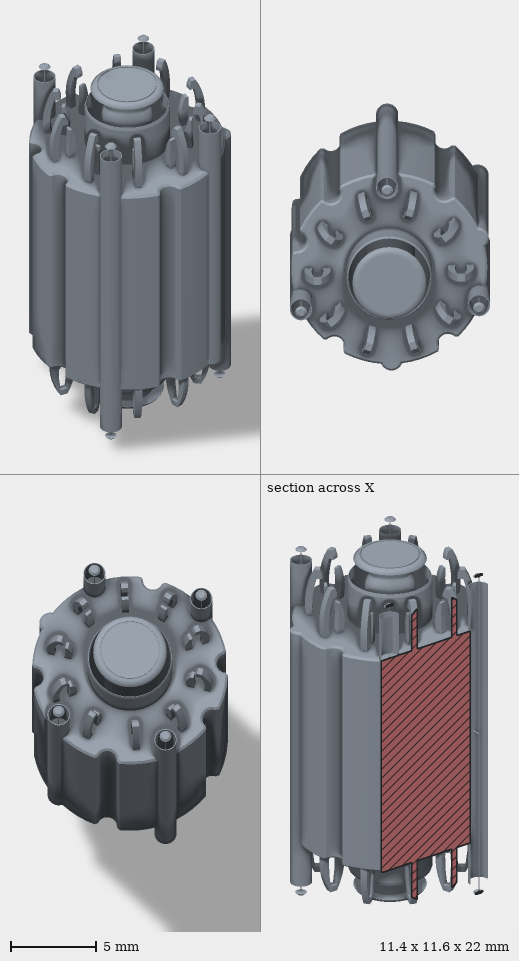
import cadquery as cq
import math

HALF_LENGTH = 11.0
STATION_ANGLE = 36.0

BODY_RADIUS = 5.75
BODY_HALF = 7.02
BODY_CHAMFER = 0.13
CHAMFER_ANGLE = 45.0
STATION_RADIUS = 5.48

NOTCH_CENTER = 5.65
NOTCH_RADIUS = 0.57
FLARE_INNER = (5.55, 0.55)
FLARE_OUTER = (5.8, 0.88)
NOTCH_STATIONS = (0, 3, 5, 7, 8)

TUBE_DIAMETER = 1.3
TUBE_BORE = 1.2
TUBE_END = 9.75
TOP_TUBE_STATIONS = (1, 4)
BOTTOM_TUBE_STATIONS = (2,)
THROUGH_TUBE_STATIONS = (6, 9)

TIP_NEAR = 10.43
TIP_HEIGHT = 0.13
TIP_BASE_DIAMETER = 0.68
TIP_FACE_DIAMETER = 0.42

SLEEVE_DIAMETER = 5.0
SLEEVE_WALL = 0.09
SLEEVE_END = 9.61
SLEEVE_CHAMFER_HEIGHT = 0.2
SLEEVE_CHAMFER_DEPTH = 0.07

POST_DIAMETER = 3.0
POST_TOP = 10.05
DOME_ROUND = 1.1
CAP_DIAMETER = 4.35
CAP_HEIGHT = 0.26
CAP_ROUND = 0.4
GROOVE_OUTER = 3.56
GROOVE_INNER = 3.37
GROOVE_DEPTH = 0.07

STEM_DIAMETER = 0.07
SPOKE_WIDTH = 0.07

CONTACT_COUNT = 10
CONTACT_WIDTH = 0.4
CONTACT_CENTER = 4.2
HOOK_TOP = 10.08
LOOP_END = 9.9
ROOT_DEPTH = 0.22
CONTACT_ROOT = BODY_HALF - ROOT_DEPTH
BELLY_HEIGHT = 8.1
LEG_ROOT_OUTER = 0.64
LEG_ROOT_INNER = 0.26
BELLY_OUTER = 0.77
BELLY_INNER = 0.35
LOOP_INSIDE_END = 9.53
LOOP_END_HALF = 0.22
HOOK_FLAT_OUTER = 0.18
HOOK_FLAT_INNER = -0.1
HOOK_REACH = -0.25
HOOK_SHOULDER = 9.72
HOOK_BOTTOM = 9.48
HOOK_INSIDE = 0.09
SHORT_LEG_END = 9.02
SHORT_TIP_OUTER = 0.5
SHORT_TIP_INNER = 0.33


def cylinder(diameter, bottom, top, center=(0, 0)):
    return (
        cq.Workplane("XY").workplane(offset=bottom).center(*center)
        .circle(diameter / 2).extrude(top - bottom)
    )


def station_point(station):
    angle = math.radians(station * STATION_ANGLE)
    return STATION_RADIUS * math.cos(angle), STATION_RADIUS * math.sin(angle)


def mirrored(shape):
    return shape.mirror("XY")


def notch_part(outline):
    """Straight cut through the body that widens by the edge chamfer at both ends."""
    wire = outline.val()
    straight = cq.Workplane("XY").add(wire).toPending().extrude(BODY_HALF)
    mouth = cq.Workplane("XY").add(wire).toPending().extrude(BODY_CHAMFER, taper=-CHAMFER_ANGLE)
    mouth = mouth.translate((0, 0, BODY_HALF - BODY_CHAMFER))
    half = straight.union(mouth)
    return half.union(mirrored(half))


def notch(station):
    """Round groove whose mouth flares out to the body edge."""
    (inner_r, inner_w), (outer_r, outer_w) = FLARE_INNER, FLARE_OUTER
    groove = notch_part(cq.Workplane("XY").center(NOTCH_CENTER, 0).circle(NOTCH_RADIUS))
    flare = notch_part(
        cq.Workplane("XY")
        .polyline([(inner_r, -inner_w), (outer_r, -outer_w), (outer_r, outer_w), (inner_r, inner_w)])
        .close()
    )
    return groove.union(flare).rotate((0, 0, 0), (0, 0, 1), station * STATION_ANGLE)


def make_body():
    body = cylinder(2 * BODY_RADIUS, -BODY_HALF, BODY_HALF).faces("<Z or >Z").chamfer(BODY_CHAMFER)
    for station in NOTCH_STATIONS:
        body = body.cut(notch(station))
    return body.cut(cylinder(SLEEVE_DIAMETER, -BODY_HALF, BODY_HALF))


def make_sleeve():
    sleeve = cylinder(SLEEVE_DIAMETER, -SLEEVE_END, SLEEVE_END)
    sleeve = sleeve.faces(">Z").chamfer(SLEEVE_CHAMFER_HEIGHT, SLEEVE_CHAMFER_DEPTH)
    sleeve = sleeve.faces("<Z").chamfer(SLEEVE_CHAMFER_HEIGHT, SLEEVE_CHAMFER_DEPTH)
    return sleeve.cut(cylinder(SLEEVE_DIAMETER - 2 * SLEEVE_WALL, -SLEEVE_END, SLEEVE_END))


def make_cap():
    cap_face = HALF_LENGTH - CAP_HEIGHT
    rounded = cylinder(CAP_DIAMETER, cap_face - CAP_HEIGHT, HALF_LENGTH)
    rounded = rounded.faces(">Z").edges().fillet(CAP_ROUND)
    return rounded.intersect(cylinder(CAP_DIAMETER, cap_face, HALF_LENGTH))


def make_plunger():
    """Domed post on the lower cap, with the grooved upper cap above it."""
    cap_face = HALF_LENGTH - CAP_HEIGHT
    post = cylinder(POST_DIAMETER, -cap_face, POST_TOP).faces(">Z").edges().fillet(DOME_ROUND)
    groove_floor = HALF_LENGTH - GROOVE_DEPTH
    groove = cylinder(GROOVE_OUTER, groove_floor, HALF_LENGTH)
    groove = groove.cut(cylinder(GROOVE_INNER, groove_floor, HALF_LENGTH))
    upper_cap = make_cap().cut(groove)
    stem = cylinder(STEM_DIAMETER, 0, cap_face)
    spoke = cq.Workplane("XY").box(SLEEVE_DIAMETER, SPOKE_WIDTH, SPOKE_WIDTH)
    return post.union(mirrored(make_cap())).union(upper_cap).union(stem).union(spoke)


def make_tip(center):
    """Cone-edged tip above a tube, on a stem that rises from mid-height."""
    tip = (
        cq.Workplane("XY").workplane(offset=TIP_NEAR).center(*center).circle(TIP_BASE_DIAMETER / 2)
        .workplane(offset=TIP_HEIGHT).circle(TIP_FACE_DIAMETER / 2).loft()
    )
    return tip.union(cylinder(STEM_DIAMETER, 0, TIP_NEAR, center))


def add_end_tube(part, center):
    """Tube open above the body, solid along it and chamfered at the body's far end."""
    tube = cylinder(TUBE_DIAMETER, -BODY_HALF, TUBE_END, center).faces("<Z").chamfer(BODY_CHAMFER)
    bore = cylinder(TUBE_BORE, BODY_HALF, TUBE_END, center)
    return part.union(tube).cut(bore).union(make_tip(center))


def add_through_tube(part, center):
    """Tube that is open from end to end, with a tip at both ends."""
    tube = cylinder(TUBE_DIAMETER, -TUBE_END, TUBE_END, center)
    bore = cylinder(TUBE_BORE, -TUBE_END, TUBE_END, center)
    tip = make_tip(center)
    spoke_length = TUBE_DIAMETER / 2
    spoke_shift = -math.copysign(spoke_length / 2, center[0])
    spoke = cq.Workplane("XY").box(spoke_length, SPOKE_WIDTH, SPOKE_WIDTH)
    spoke = spoke.translate((center[0] + spoke_shift, center[1], 0))
    return part.union(tube).cut(bore).union(tip).union(mirrored(tip)).union(spoke)


def contact_plate(outline):
    return outline.close().extrude(CONTACT_WIDTH / 2, both=True)


def long_leg():
    """Outer leg that bows outward and hooks back over the middle line."""
    return contact_plate(
        cq.Workplane("XZ").center(CONTACT_CENTER, 0).moveTo(LEG_ROOT_OUTER, CONTACT_ROOT)
        .threePointArc((BELLY_OUTER, BELLY_HEIGHT), (HOOK_FLAT_OUTER, HOOK_TOP))
        .lineTo(HOOK_FLAT_INNER, HOOK_TOP).lineTo(HOOK_REACH, HOOK_SHOULDER)
        .lineTo(HOOK_REACH, HOOK_BOTTOM).lineTo(HOOK_INSIDE, HOOK_BOTTOM)
        .threePointArc((BELLY_INNER, BELLY_HEIGHT), (LEG_ROOT_INNER, CONTACT_ROOT))
    )


def short_leg():
    """Inner leg that bows toward the axis and ends lower."""
    return contact_plate(
        cq.Workplane("XZ").center(CONTACT_CENTER, 0).moveTo(-LEG_ROOT_OUTER, CONTACT_ROOT)
        .threePointArc((-BELLY_OUTER, BELLY_HEIGHT), (-SHORT_TIP_OUTER, SHORT_LEG_END))
        .lineTo(-SHORT_TIP_INNER, SHORT_LEG_END)
        .threePointArc((-BELLY_INNER, BELLY_HEIGHT), (-LEG_ROOT_INNER, CONTACT_ROOT))
    )


def lower_loop():
    """Closed loop with both legs joined at the end."""
    outside = contact_plate(
        cq.Workplane("XZ").center(CONTACT_CENTER, 0).moveTo(LEG_ROOT_OUTER, -CONTACT_ROOT)
        .threePointArc((BELLY_OUTER, -BELLY_HEIGHT), (LOOP_END_HALF, -LOOP_END))
        .lineTo(-LOOP_END_HALF, -LOOP_END)
        .threePointArc((-BELLY_OUTER, -BELLY_HEIGHT), (-LEG_ROOT_OUTER, -CONTACT_ROOT))
    )
    inside = contact_plate(
        cq.Workplane("XZ").center(CONTACT_CENTER, 0).moveTo(LEG_ROOT_INNER, -CONTACT_ROOT)
        .threePointArc((BELLY_INNER, -BELLY_HEIGHT), (LOOP_END_HALF, -LOOP_INSIDE_END))
        .lineTo(-LOOP_END_HALF, -LOOP_INSIDE_END)
        .threePointArc((-BELLY_INNER, -BELLY_HEIGHT), (-LEG_ROOT_INNER, -CONTACT_ROOT))
    )
    return outside.cut(inside)


def add_contacts(part):
    for index in range(CONTACT_COUNT):
        angle = (index + 0.5) * 360 / CONTACT_COUNT
        for piece in (long_leg(), short_leg(), lower_loop()):
            part = part.union(piece.rotate((0, 0, 0), (0, 0, 1), angle))
    return part


result = make_body().union(make_sleeve()).union(make_plunger())
for station in THROUGH_TUBE_STATIONS:
    result = add_through_tube(result, station_point(station))
for station in TOP_TUBE_STATIONS:
    result = add_end_tube(result, station_point(station))
result = mirrored(result)
for station in BOTTOM_TUBE_STATIONS:
    result = add_end_tube(result, station_point(station))
result = add_contacts(mirrored(result))